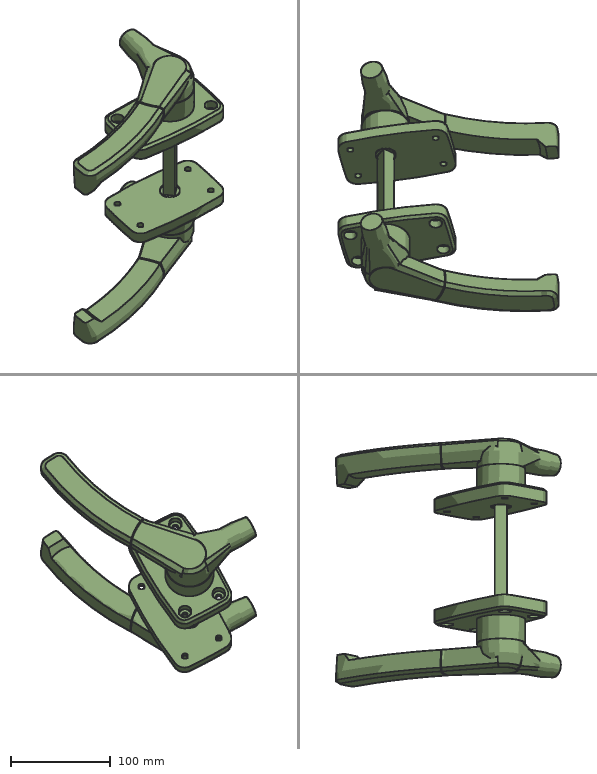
import cadquery as cq
import math


plate_x, plate_y = 4.7, -10.5
plate_width, plate_height = 68.3, 112.3
side_bow, end_bow = 3.3, 1.0
corner_radius = 11.7
plate_back, plate_front = 50.5, 65.0
plate_chamfer_width, plate_chamfer_depth = 3.0, 2.3
boss_radius = 24.3
boss_top = 89.5
screw_pitch_x, screw_pitch_y = 39.0, 87.3
screw_radius, screw_head_radius, screw_head_depth = 3.0, 6.3, 9.4

lever_top = 117.0
journal_radius = 10.0
journal_recess = 1.2
hub_radius = 23.9
hub_shoulder_radius, hub_top_radius = 20.5, 16.4
stub_radius, stub_end_radius = 12.6, 11.0
stub_axis = 103.2
stub_end_x, stub_taper_x, stub_root_x = -70.7, -55.2, -41.0
stub_blend_x = -9.4
blend_half_width, blend_shoulder_half, blend_top_half = 21.8, 19.2, 14.0

ridge, shoulder = 105.8, 114.0
edge_bottom, crown_bottom = 95.0, 93.4
flank_slope = 0.307
chamfer_run = 4.5
bend_x, bend_y = -188.1, -181.0
bend_radius = 257.5
grip_half_width = 15.0
trim_half_width = grip_half_width + 2.3
root_half_width = 22.7
arm_direction = -50.0
root_chamfer_run = 6.3
joint_angle, tip_angle = 31.8, 4.2
plan_lead = 3.0
tip_corner_radius, hook_corner_radius = 10.0, 3.3
hook_bottom = 86.8
hook_length = 11.7
groove_radius = 59.7
groove_width, groove_depth = 1.0, 0.7

spindle_side = 12.05
spindle_end = stub_axis


def cylinder(radius, bottom, top):
    return cq.Workplane("XY").workplane(offset=bottom).circle(radius).extrude(top - bottom)


def square_bar(bottom, top):
    bar = cq.Workplane("XY").workplane(offset=bottom).rect(spindle_side, spindle_side)
    return bar.extrude(top - bottom).rotate((0, 0, 0), (0, 0, 1), 45)


def make_plate():
    x, y = plate_width / 2, plate_height / 2
    corner_x, corner_y = x - side_bow, y - end_bow
    plate = (
        cq.Workplane("XY", origin=(plate_x, plate_y, plate_back))
        .moveTo(-corner_x, -corner_y)
        .threePointArc((0, -y), (corner_x, -corner_y))
        .threePointArc((x, 0), (corner_x, corner_y))
        .threePointArc((0, y), (-corner_x, corner_y))
        .threePointArc((-x, 0), (-corner_x, -corner_y))
        .close()
        .extrude(plate_front - plate_back)
        .edges("|Z").fillet(corner_radius)
        .faces(">Z").chamfer(plate_chamfer_depth, plate_chamfer_width)
    )
    plate = (
        plate.faces(">Z").workplane(origin=(plate_x, plate_y, plate_front))
        .rect(screw_pitch_x, screw_pitch_y, forConstruction=True).vertices()
        .cboreHole(2 * screw_radius, 2 * screw_head_radius, screw_head_depth)
    )
    plate = plate.union(cylinder(boss_radius, plate_front, boss_top))
    return plate.cut(cylinder(journal_radius, plate_back, boss_top))


def make_hub_core():
    core = (
        cq.Workplane("XZ")
        .polyline([
            (0, boss_top),
            (hub_radius, boss_top),
            (hub_radius, stub_axis),
            (hub_shoulder_radius, shoulder),
            (hub_top_radius, lever_top),
            (0, lever_top),
        ])
        .close()
        .revolve(360, (0, 0, 0), (0, 1, 0))
    )
    return core.union(cylinder(journal_radius, plate_back + journal_recess, boss_top))


def make_stub():
    stub = (
        cq.Workplane("XY")
        .moveTo(stub_end_x, 0)
        .lineTo(stub_end_x, stub_end_radius)
        .lineTo(stub_taper_x, stub_radius)
        .lineTo(stub_root_x, stub_radius)
        .lineTo(stub_root_x, 0)
        .close()
        .revolve(360, (0, 0, 0), (1, 0, 0))
        .translate((0, 0, stub_axis))
    )
    half_outline = [
        (blend_half_width, boss_top),
        (blend_half_width, stub_axis),
        (blend_shoulder_half, shoulder),
        (blend_top_half, lever_top),
    ]
    outline = half_outline + [(-y, z) for y, z in reversed(half_outline)]
    blend = (
        cq.Workplane("YZ", origin=(stub_root_x, 0, 0))
        .center(0, stub_axis).circle(stub_radius)
        .workplane(offset=stub_blend_x - stub_root_x).center(0, -stub_axis)
        .polyline(outline).close()
        .loft(ruled=True)
    )
    return stub.union(blend)


def section(plane, half_width, top_run, inset=0.0):
    """Six-sided section with a crowned underside, drawn on a plane whose Y is the part's Z."""
    ridge_half = half_width - inset
    top_half = ridge_half - top_run
    bottom_half = ridge_half - flank_slope * (ridge - edge_bottom)
    return (
        cq.Workplane(plane)
        .moveTo(-bottom_half, edge_bottom + inset)
        .lineTo(-ridge_half, ridge)
        .lineTo(-ridge_half, shoulder)
        .lineTo(-top_half, lever_top - inset)
        .lineTo(top_half, lever_top - inset)
        .lineTo(ridge_half, shoulder)
        .lineTo(ridge_half, ridge)
        .lineTo(bottom_half, edge_bottom + inset)
        .threePointArc((0, crown_bottom + inset), (-bottom_half, edge_bottom + inset))
        .close()
    )


def bend_point(radius, angle):
    turn = math.radians(angle)
    return (bend_x + radius * math.cos(turn), bend_y + radius * math.sin(turn))


def bend_plane(angle):
    """Section plane of the grip: X points away from the centre of the curve, Y up."""
    turn = math.radians(angle)
    x, y = bend_point(bend_radius, angle)
    return cq.Plane((x, y, 0), (math.cos(turn), math.sin(turn), 0), (math.sin(turn), -math.cos(turn), 0))


def root_plane():
    """Section plane of the arm through the spindle axis."""
    heading = math.radians(arm_direction)
    return cq.Plane(
        (0, 0, 0),
        (-math.sin(heading), math.cos(heading), 0),
        (math.cos(heading), math.sin(heading), 0),
    )


def sweep_along_bend(profile):
    """Revolve a section at the joint about the centre of the curve as far as the tip."""
    return profile.revolve(joint_angle - tip_angle, (-bend_radius, 0, 0), (-bend_radius, -1, 0))


def make_arm(inset=0.0):
    root = section(root_plane(), root_half_width, root_chamfer_run, inset).wires().val()
    end = section(bend_plane(joint_angle), grip_half_width, chamfer_run, inset).wires().val()
    return cq.Workplane(cq.Solid.makeLoft([root, end], True))


def grip_plan(half_width, tip_radius):
    """Plan shape of the grip at a given half width, with rounded corners at the tip."""
    inner, outer = bend_radius - half_width, bend_radius + half_width
    start_angle = joint_angle + plan_lead
    middle = (start_angle + tip_angle) / 2
    plan = (
        cq.Sketch()
        .arc(bend_point(inner, start_angle), bend_point(inner, middle), bend_point(inner, tip_angle))
        .segment(bend_point(outer, tip_angle))
        .arc(bend_point(outer, tip_angle), bend_point(outer, middle), bend_point(outer, start_angle))
        .close()
        .assemble()
    )
    return plan.vertices("<Y or >X").fillet(tip_radius)


def make_grip_upper():
    plan = grip_plan(grip_half_width, tip_corner_radius)
    upper = cq.Workplane("XY", origin=(0, 0, ridge)).placeSketch(plan).extrude(lever_top - ridge)
    return upper.faces(">Z").chamfer(lever_top - shoulder, chamfer_run)


def make_grip_flanks():
    """Tapered lower half of the grip, as deep as the hook over its whole length."""
    drop = hook_bottom - ridge
    hook_half_width = grip_half_width + flank_slope * drop
    return (
        cq.Workplane("XY", origin=(0, 0, ridge))
        .placeSketch(
            grip_plan(grip_half_width, tip_corner_radius),
            grip_plan(hook_half_width, hook_corner_radius).moved(cq.Location((0, 0, drop))),
        )
        .loft(ruled=True)
    )


def make_hook_wedge():
    """Region of the hook: upright at the tip, with a 45 degree slope towards the hand."""
    tip = bend_plane(tip_angle)
    side = cq.Plane(tip.origin, tip.zDir * -1, tip.xDir)
    drop = ridge - hook_bottom
    return (
        cq.Workplane(side)
        .polyline([
            (0, hook_bottom),
            (hook_length, hook_bottom),
            (hook_length + drop, ridge),
            (0, ridge),
        ])
        .close()
        .extrude(trim_half_width, both=True)
    )


def make_crown_slab():
    """Layer between the crowned underside and the ridge, wider than the grip."""
    bottom_half = grip_half_width - flank_slope * (ridge - edge_bottom)
    return sweep_along_bend(
        cq.Workplane(bend_plane(joint_angle))
        .moveTo(-bottom_half, edge_bottom)
        .lineTo(-trim_half_width, edge_bottom)
        .lineTo(-trim_half_width, ridge)
        .lineTo(trim_half_width, ridge)
        .lineTo(trim_half_width, edge_bottom)
        .lineTo(bottom_half, edge_bottom)
        .threePointArc((0, crown_bottom), (-bottom_half, edge_bottom))
        .close()
    )


def make_grip():
    bar = sweep_along_bend(section(bend_plane(joint_angle), grip_half_width, chamfer_run))
    lower = make_grip_flanks().intersect(make_crown_slab().union(make_hook_wedge()))
    upper = make_grip_upper().intersect(bar)
    return upper.union(lower)


def make_plain_limb(inset=0.0):
    """Arm and grip as a plain bar without the hook, slimmed all round by the inset."""
    profile = section(bend_plane(joint_angle), grip_half_width, chamfer_run, inset)
    return make_arm(inset).union(sweep_along_bend(profile))


def make_hub():
    """Hub, stub and arm; the arm ends in a slimmer neck that shows in the joint groove."""
    reach = groove_radius + groove_width
    arm = make_plain_limb().intersect(cylinder(groove_radius, boss_top, lever_top))
    neck = make_plain_limb(groove_depth).intersect(cylinder(reach, boss_top, lever_top))
    return make_hub_core().union(make_stub()).union(arm).union(neck)


def make_grip_body():
    return make_grip().cut(cylinder(groove_radius + groove_width, hook_bottom, lever_top))


plate = make_plate()
grip = make_grip_body()
hub = make_hub()

lower_hub = hub.mirror("XY").cut(square_bar(-spindle_end, 0))
spindle_hub = hub.union(square_bar(-spindle_end, boss_top))

result = cq.Compound.makeCompound([
    spindle_hub.val(),
    lower_hub.val(),
    plate.val(),
    plate.mirror("XY").val(),
    grip.val(),
    grip.mirror("XY").val(),
])